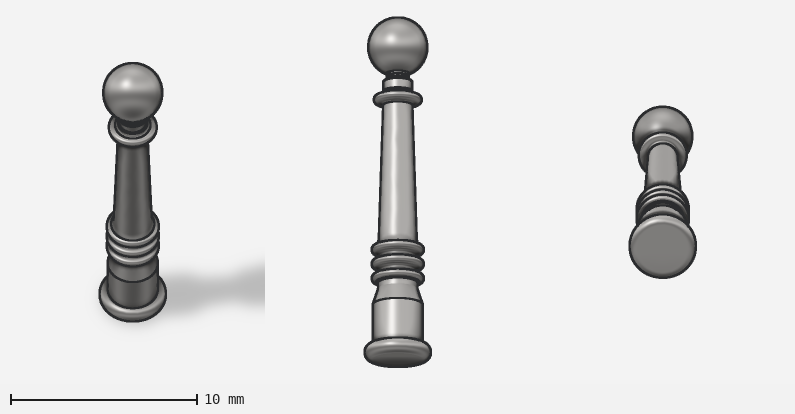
import cadquery as cq

height = 19.05

body_radius = 1.35
base_height = 0.88
base_mid = base_height / 2
base_radius = body_radius + base_mid
body_top = 3.09
waist_radius = 1.07
waist_bottom = 3.96

bead_radius = 1.41
bead_half_height = 0.21
bead_spacing = 0.8
bead_count = 3
lowest_bead_z = 4.55
cove_edge_radius = 1.16
cove_throat_radius = 1.0

shaft_bottom = 6.82
shaft_bottom_radius = 1.03
shaft_top = 14.04
shaft_top_radius = 0.8

top_bead_z = 14.52
top_bead_radius = 1.3
top_cove_edge_radius = 0.95
flare_bottom = 14.2
flare_top = 14.94
flare_sag = 0.04

groove_radius = 0.75
band_bottom = 15.0
band_top = 15.56
band_radius = 0.78
band_chamfer = 0.05
collar_radius = 0.61
neck_radius = 0.51
neck_bottom = 15.68
neck_top = 15.83

ball_radius = 1.6
ball_center_z = height - ball_radius


def add_bead(outline, center_z, outer_radius, root_radius):
    """From the bead's lower root, go out over its rounded rim and back to its upper root."""
    bottom = center_z - bead_half_height
    top = center_z + bead_half_height
    rim_start = outer_radius - bead_half_height
    return (
        outline.lineTo(rim_start, bottom)
        .threePointArc((outer_radius, center_z), (rim_start, top))
        .lineTo(root_radius, top)
    )


def add_cove(outline, start, end):
    """Join two (radius, z) points with a shallow hollow curve."""
    middle = ((start[0] + end[0]) / 2 - flare_sag, (start[1] + end[1]) / 2)
    return outline.threePointArc(middle, end)


outline = (
    cq.Workplane("XZ")
    .moveTo(0, 0)
    .lineTo(body_radius, 0)
    .threePointArc((base_radius, base_mid), (body_radius, base_height))
    .lineTo(body_radius, body_top)
    .lineTo(waist_radius, waist_bottom)
    .lineTo(waist_radius, lowest_bead_z - bead_half_height - flare_sag)
    .lineTo(cove_edge_radius, lowest_bead_z - bead_half_height)
)

for index in range(bead_count):
    bead_z = lowest_bead_z + index * bead_spacing
    if index > 0:
        outline = outline.threePointArc(
            (cove_throat_radius, bead_z - bead_spacing / 2),
            (cove_edge_radius, bead_z - bead_half_height),
        )
    outline = add_bead(outline, bead_z, bead_radius, cove_edge_radius)

highest_bead_top = lowest_bead_z + (bead_count - 1) * bead_spacing + bead_half_height
outline = add_cove(
    outline,
    (cove_edge_radius, highest_bead_top),
    (shaft_bottom_radius, shaft_bottom),
)
outline = outline.lineTo(shaft_top_radius, shaft_top).lineTo(shaft_top_radius, flare_bottom)

outline = add_cove(
    outline,
    (shaft_top_radius, flare_bottom),
    (top_cove_edge_radius, top_bead_z - bead_half_height),
)
outline = add_bead(outline, top_bead_z, top_bead_radius, top_cove_edge_radius)
outline = add_cove(
    outline,
    (top_cove_edge_radius, top_bead_z + bead_half_height),
    (shaft_top_radius, flare_top),
)

outline = (
    outline.lineTo(groove_radius, flare_top)
    .lineTo(groove_radius, band_bottom)
    .lineTo(band_radius, band_bottom)
    .lineTo(band_radius, band_top - band_chamfer)
    .lineTo(band_radius - band_chamfer, band_top)
    .lineTo(collar_radius, band_top)
    .lineTo(collar_radius, neck_bottom)
    .lineTo(neck_radius, neck_bottom)
    .lineTo(neck_radius, neck_top)
    .lineTo(collar_radius, neck_top)
    .lineTo(collar_radius, ball_center_z)
    .lineTo(0, ball_center_z)
    .close()
)
post = outline.revolve(360, (0, 0, 0), (0, 1, 0))

ball = cq.Workplane("XY").sphere(ball_radius).translate((0, 0, ball_center_z))
result = post.union(ball)